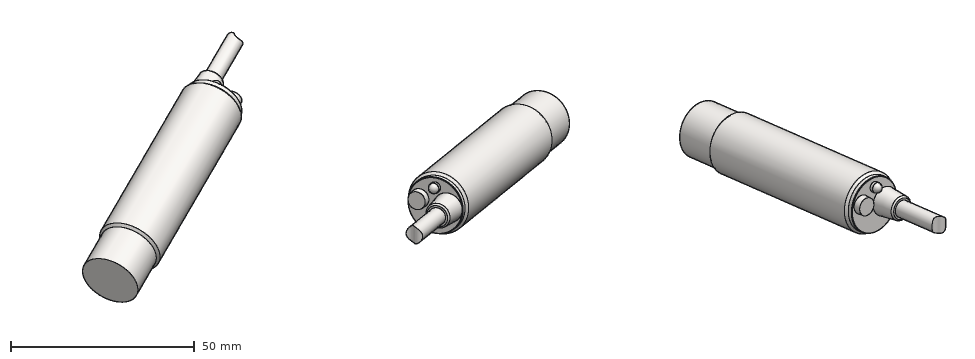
import cadquery as cq

OVERALL_LENGTH = 93.17

BODY_RADIUS = 18.0 / 2
NOSE_RADIUS = 16.5 / 2
SHOULDER = BODY_RADIUS - NOSE_RADIUS
NOSE_LENGTH = 12.45
BODY_END = 68.2
CAP_FACE = 70.4
CAP_CHAMFER = 0.2

CABLE_X = -3.8
CABLE_RADIUS = 5.0 / 2
RELIEF_END = 77.5
RELIEF_BASE_RADIUS = 4.25
RELIEF_TIP_RADIUS = 3.6
RELIEF_CHAMFER = 0.5
BREAK_DEPTH = 0.6

LAMP_Z = 5.35
LAMP_RADIUS = 3.0 / 2
LAMP_COLLAR_RADIUS = 3.1 / 2
LAMP_COLLAR_HEIGHT = 0.95

BUTTON_X = 4.65
BUTTON_Z = 1.4
BUTTON_BASE_RADIUS = 2.75
BUTTON_TOP_RADIUS = 2.6
BUTTON_HEIGHT = 2.1


def revolve_about_y(profile):
    """Turn a half profile, drawn in X (radius) and Y, about the Y axis."""
    return profile.close().revolve(360, (0, 0, 0), (0, 1, 0))


def make_housing():
    profile = (
        cq.Workplane("XY")
        .lineTo(NOSE_RADIUS, 0)
        .lineTo(NOSE_RADIUS, NOSE_LENGTH)
        .lineTo(BODY_RADIUS, NOSE_LENGTH + SHOULDER)
        .lineTo(BODY_RADIUS, BODY_END)
        .lineTo(NOSE_RADIUS, BODY_END + SHOULDER)
        .lineTo(NOSE_RADIUS, CAP_FACE - CAP_CHAMFER)
        .lineTo(NOSE_RADIUS - CAP_CHAMFER, CAP_FACE)
        .lineTo(0, CAP_FACE)
    )
    return revolve_about_y(profile)


def make_strain_relief():
    profile = (
        cq.Workplane("XY")
        .moveTo(0, CAP_FACE)
        .lineTo(RELIEF_BASE_RADIUS, CAP_FACE)
        .lineTo(RELIEF_TIP_RADIUS, RELIEF_END - RELIEF_CHAMFER)
        .lineTo(RELIEF_TIP_RADIUS - RELIEF_CHAMFER, RELIEF_END)
        .lineTo(0, RELIEF_END)
    )
    return revolve_about_y(profile).translate((CABLE_X, 0, 0))


def make_cable():
    """Round cable whose free end is an S-shaped break: a crest, then a dip."""
    break_level = OVERALL_LENGTH - BREAK_DEPTH
    wavy_block = (
        cq.Workplane("XY")
        .moveTo(-CABLE_RADIUS, CAP_FACE)
        .lineTo(-CABLE_RADIUS, break_level)
        .threePointArc((-CABLE_RADIUS / 2, OVERALL_LENGTH), (0, break_level))
        .threePointArc((CABLE_RADIUS / 2, break_level - BREAK_DEPTH), (CABLE_RADIUS, break_level))
        .lineTo(CABLE_RADIUS, CAP_FACE)
        .close()
        .extrude(CABLE_RADIUS, both=True)
    )
    round_bar = (
        cq.Workplane("XZ", origin=(0, CAP_FACE, 0))
        .circle(CABLE_RADIUS)
        .extrude(CAP_FACE - OVERALL_LENGTH)
    )
    return round_bar.intersect(wavy_block).translate((CABLE_X, 0, 0))


def make_lamp():
    collar_top = CAP_FACE + LAMP_COLLAR_HEIGHT
    profile = (
        cq.Workplane("XY")
        .moveTo(0, CAP_FACE)
        .lineTo(LAMP_COLLAR_RADIUS, CAP_FACE)
        .lineTo(LAMP_COLLAR_RADIUS, collar_top)
        .lineTo(LAMP_RADIUS, collar_top)
        .radiusArc((0, collar_top + LAMP_RADIUS), -LAMP_RADIUS)
    )
    return revolve_about_y(profile).translate((0, 0, LAMP_Z))


def make_button():
    button_top = CAP_FACE + BUTTON_HEIGHT
    profile = (
        cq.Workplane("XY")
        .moveTo(0, CAP_FACE)
        .lineTo(BUTTON_BASE_RADIUS, CAP_FACE)
        .lineTo(BUTTON_TOP_RADIUS, button_top)
        .lineTo(0, button_top)
    )
    return revolve_about_y(profile).translate((BUTTON_X, 0, BUTTON_Z))


result = (
    make_housing()
    .union(make_strain_relief())
    .union(make_cable())
    .union(make_lamp())
    .union(make_button())
)